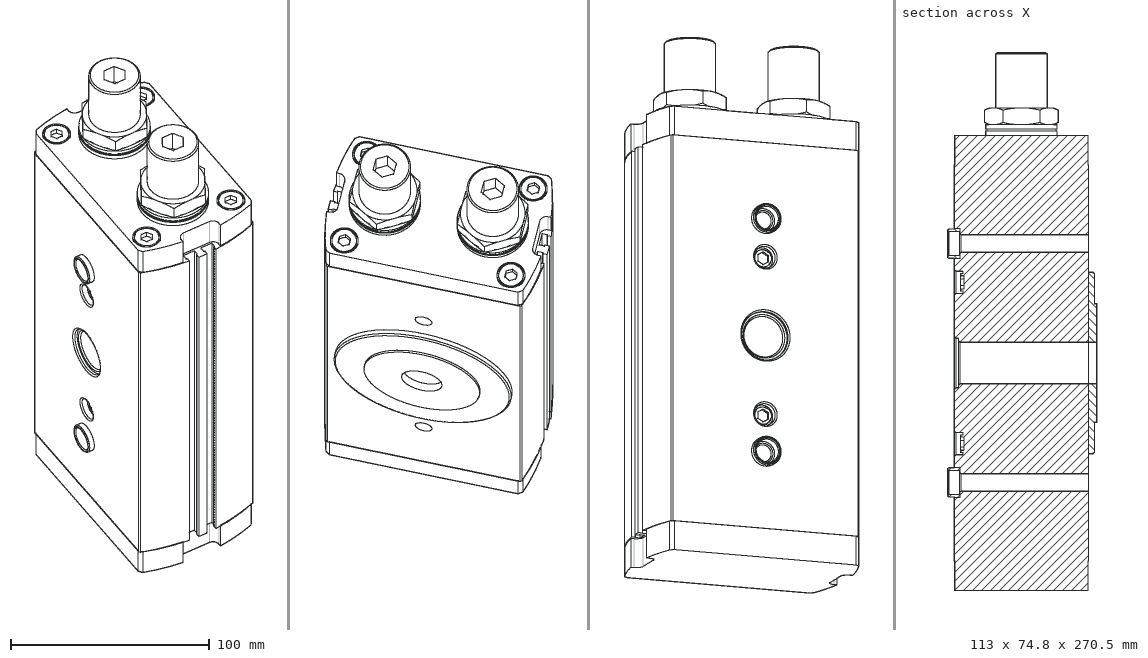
import cadquery as cq
import math


housing_height = 229.0
cap_height = 15.0
housing_depth = 67.6
body_width = 113.0
flat_width = 100.7
body_corner_chamfer = 0.68
cap_bulge_inset = 0.5
cap_face_inset = 0.3
cap_corner_chamfer = 1.5
back_face = housing_depth / 2
front_face = -housing_depth / 2
table_axis_z = housing_height / 2

slot_floor_x = 51.5
slot_lip_x = 54.0
slot_inner_near, slot_inner_far = 2.0, 8.5
slot_mouth_near, slot_mouth_far = 2.5, 7.8

channel_floor_x = 50.3
channel_width = 22.2
channel_fillet = 3.5

cap_screw_spacing_x = 86.0
cap_screw_spacing_y = 49.8
cap_screw_bore = 14.0
cap_screw_head = 12.5
cap_screw_gap_depth = 1.0
cap_screw_socket = 5.7
cap_screw_socket_depth = 2.7

absorber_spacing = 55.7
collar_diameter = 36.0
collar_height = 5.5
collar_groove_height = 0.8
collar_groove_depth = 0.5
nut_across_flats = 32.2
nut_height = 8.5
nut_bevel_diameter = 32.5
nut_bevel_height = 1.0
absorber_diameter = 26.0
absorber_top = 270.5
absorber_chamfer = 0.8
absorber_socket = 10.5
absorber_socket_depth = 10.8

passage_diameter = 20.8
passage_bore_diameter = 25.0
passage_bore_depth = 2.2
passage_mouth_diameter = 26.5
passage_step_diameter = 22.5

front_screw_offset = 40.5
front_screw_bore = 11.0
front_screw_mouth = 12.7
front_screw_end = 9.0
front_screw_gap_depth = 1.0
front_screw_depth = 3.2
front_screw_socket = 5.7
front_screw_socket_depth = 1.5

sleeve_offset = 60.0
sleeve_diameter = 15.0
sleeve_bore = 12.0
sleeve_length = 6.0
sleeve_protrusion = 3.2
sleeve_chamfer = 0.5
sleeve_passage_diameter = 8.7
sleeve_passage_mouth = 10.0

table_diameter = 91.5
table_thickness = 3.0
table_edge_chamfer = 0.8
table_boss_diameter = 59.8
table_boss_height = 1.0


def hex_corners(across_flats):
    """Corner-to-corner size of a hexagon."""
    return across_flats * 2 / math.sqrt(3)


def hex_prism(corners, height):
    """Upright hexagonal prism with two of its corners on the Y axis."""
    prism = cq.Workplane("XY").polygon(6, corners).extrude(height)
    return prism.rotate((0, 0, 0), (0, 0, 1), 90)


def front_axis(z, y=front_face):
    """Workplane at height z, facing along +Y, by default on the front face."""
    return cq.Workplane("XZ", origin=(0, y, z)).transformed(rotate=(180, 0, 0))


def front_cylinder(z, diameter, depth, start_y=front_face):
    """Cylinder that runs along +Y, by default from the front face."""
    return front_axis(z, start_y).circle(diameter / 2).extrude(depth)


def front_mouth(z, mouth_diameter, bore_diameter, start_y=front_face):
    """45-degree cone that widens the mouth of a bore, by default at the front face."""
    depth = (mouth_diameter - bore_diameter) / 2
    mouth = front_axis(z, start_y).circle(mouth_diameter / 2)
    return mouth.workplane(offset=depth).circle(bore_diameter / 2).loft()


def barrel(bulge_inset, face_inset, corner_chamfer, bottom_z, height):
    """Prism with flat front and back faces, bulging sides and chamfered corners."""
    flat = flat_width / 2
    bulge = body_width / 2 - bulge_inset
    back = housing_depth / 2 - face_inset
    return (
        cq.Workplane("XY", origin=(0, 0, bottom_z))
        .moveTo(-flat, -back)
        .lineTo(flat, -back)
        .threePointArc((bulge, 0), (flat, back))
        .lineTo(-flat, back)
        .threePointArc((-bulge, 0), (-flat, -back))
        .close()
        .extrude(height)
        .edges("|Z")
        .chamfer(corner_chamfer)
    )


def side_slot(side_x, side_y):
    """T-slot along Z, cut into one side of the body, above or below its central rib."""
    outside_x = body_width / 2 + 2.7
    points = [
        (slot_floor_x, slot_inner_near),
        (slot_lip_x, slot_inner_near),
        (slot_lip_x, slot_mouth_near),
        (outside_x, slot_mouth_near),
        (outside_x, slot_mouth_far),
        (slot_lip_x, slot_mouth_far),
        (slot_lip_x, slot_inner_far),
        (slot_floor_x, slot_inner_far),
    ]
    points = [(side_x * x, side_y * y) for x, y in points]
    return cq.Workplane("XY").polyline(points).close().extrude(housing_height)


def make_body():
    body = barrel(0, 0, body_corner_chamfer, cap_height, housing_height - 2 * cap_height)
    for side_x in (-1, 1):
        for side_y in (-1, 1):
            body = body.cut(side_slot(side_x, side_y))
    return body


def make_cap(bottom_z):
    cap = barrel(cap_bulge_inset, cap_face_inset, cap_corner_chamfer, bottom_z, cap_height)
    channel_depth = body_width / 2 - channel_floor_x
    for side in (-1, 1):
        channel = (
            cq.Workplane("XY", origin=(side * (channel_floor_x + channel_depth / 2), 0, bottom_z))
            .rect(channel_depth, channel_width)
            .extrude(cap_height)
        )
        floor_edges = "<X and |Z" if side > 0 else ">X and |Z"
        cap = cap.cut(channel.edges(floor_edges).fillet(channel_fillet))
    return cap


def cut_cap_screws(housing):
    """Ring-shaped gap around each screw head and its hexagonal socket."""
    gap = (
        cq.Workplane("XY")
        .circle(cap_screw_bore / 2)
        .circle(cap_screw_head / 2)
        .extrude(-cap_screw_gap_depth)
    )
    socket = hex_prism(hex_corners(cap_screw_socket), -cap_screw_socket_depth)
    for side_x in (-1, 1):
        for side_y in (-1, 1):
            place = (side_x * cap_screw_spacing_x / 2, side_y * cap_screw_spacing_y / 2, housing_height)
            housing = housing.cut(gap.translate(place)).cut(socket.translate(place))
    return housing


def make_absorber():
    """Grooved collar, doubly bevelled hexagonal nut and threaded rod, standing on Z = 0."""
    collar = cq.Workplane("XY").circle(collar_diameter / 2).extrude(collar_height)
    groove = (
        cq.Workplane("XY", origin=(0, 0, (collar_height - collar_groove_height) / 2))
        .circle(collar_diameter / 2)
        .circle(collar_diameter / 2 - collar_groove_depth)
        .extrude(collar_groove_height)
    )
    nut_corners = hex_corners(nut_across_flats)
    bevel = (
        cq.Workplane("XZ")
        .lineTo(nut_bevel_diameter / 2, 0)
        .lineTo(nut_corners / 2, nut_bevel_height)
        .lineTo(nut_corners / 2, nut_height - nut_bevel_height)
        .lineTo(nut_bevel_diameter / 2, nut_height)
        .lineTo(0, nut_height)
        .close()
        .revolve(360, (0, 0), (0, 1))
    )
    nut = hex_prism(nut_corners, nut_height).intersect(bevel)
    rod_height = absorber_top - housing_height
    rod = cq.Workplane("XY").circle(absorber_diameter / 2).extrude(rod_height)
    rod = rod.faces(">Z").chamfer(absorber_chamfer)
    socket = hex_prism(hex_corners(absorber_socket), -absorber_socket_depth).translate((0, 0, rod_height))
    return collar.cut(groove).union(nut.translate((0, 0, collar_height))).union(rod).cut(socket)


def cut_passage(housing):
    housing = housing.cut(front_cylinder(table_axis_z, passage_diameter, housing_depth))
    housing = housing.cut(front_cylinder(table_axis_z, passage_bore_diameter, passage_bore_depth))
    housing = housing.cut(front_mouth(table_axis_z, passage_mouth_diameter, passage_bore_diameter))
    ledge_y = front_face + passage_bore_depth
    return housing.cut(front_mouth(table_axis_z, passage_step_diameter, passage_diameter, ledge_y))


def cut_front_screws(housing):
    """Recess with a chamfered mouth; its floor is the screw end, with a socket and a gap around it."""
    end_y = front_face + front_screw_depth
    for side in (-1, 1):
        z = table_axis_z + side * front_screw_offset
        socket = (
            front_axis(z, end_y)
            .transformed(rotate=(0, 0, 90))
            .polygon(6, hex_corners(front_screw_socket))
            .extrude(front_screw_socket_depth)
        )
        gap = (
            front_axis(z, end_y)
            .circle(front_screw_bore / 2)
            .circle(front_screw_end / 2)
            .extrude(front_screw_gap_depth)
        )
        housing = housing.cut(front_cylinder(z, front_screw_bore, front_screw_depth)).cut(gap)
        housing = housing.cut(front_mouth(z, front_screw_mouth, front_screw_bore)).cut(socket)
    return housing


def cut_sleeve_seats(housing):
    """Seat for each sleeve, with a chamfered passage through to the back face."""
    seat_depth = sleeve_length - sleeve_protrusion
    seat_floor_y = front_face + seat_depth
    for side in (-1, 1):
        z = table_axis_z + side * sleeve_offset
        housing = housing.cut(front_cylinder(z, sleeve_diameter, seat_depth))
        housing = housing.cut(front_mouth(z, sleeve_passage_mouth, sleeve_passage_diameter, seat_floor_y))
        housing = housing.cut(front_cylinder(z, sleeve_passage_diameter, housing_depth))
    return housing


def make_housing():
    housing = make_body()
    for bottom_z in (0, housing_height - cap_height):
        housing = housing.union(make_cap(bottom_z))
    housing = cut_cap_screws(housing)
    absorber = make_absorber()
    for side in (-1, 1):
        housing = housing.union(absorber.translate((side * absorber_spacing / 2, 0, housing_height)))
    housing = cut_passage(housing)
    housing = cut_front_screws(housing)
    return cut_sleeve_seats(housing)


def make_sleeve(z):
    """Plain sleeve, partly sunk in the front face, chamfered at its outer end."""
    return (
        front_axis(z, front_face - sleeve_protrusion)
        .circle(sleeve_diameter / 2)
        .circle(sleeve_bore / 2)
        .extrude(sleeve_length)
        .faces("<Y")
        .chamfer(sleeve_chamfer)
    )


def make_table():
    """Disc on the back face with a low central boss and the passage through both."""
    disc = front_cylinder(table_axis_z, table_diameter, table_thickness, back_face)
    disc = disc.faces(">Y").chamfer(table_edge_chamfer)
    full_thickness = table_thickness + table_boss_height
    boss = front_cylinder(table_axis_z, table_boss_diameter, full_thickness, back_face)
    passage = front_cylinder(table_axis_z, passage_diameter, full_thickness, back_face)
    return disc.union(boss).cut(passage)


housing = make_housing()
table = make_table()
sleeves = [make_sleeve(table_axis_z + side * sleeve_offset) for side in (-1, 1)]

result = cq.Compound.makeCompound([housing.val(), table.val(), *[sleeve.val() for sleeve in sleeves]])